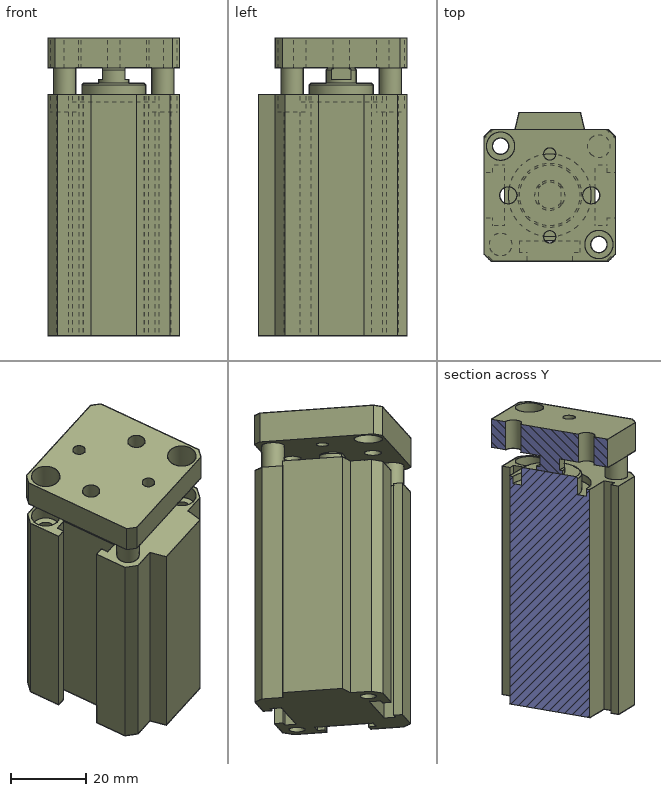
import cadquery as cq

total_height = 79.0
total_depth = 39.5
side = 35.0
half_side = side / 2

plate_thickness = 8.0
plate_chamfer = 2.0
plate_bottom = total_height - plate_thickness
mount_offset = 11.0
large_mount_dia = 4.5
small_mount_dia = 3.2

corner_offset = 13.0
post_dia = 6.0
screw_hole_dia = 4.3
screw_head_dia = 7.5
screw_head_depth = 4.6

housing_height = 64.0
housing_chamfer = 2.5

slot_width = 12.0
slot_inner_width = 15.95
slot_lip = 2.4
slot_depth = 5.45

rib_depth = total_depth - side
rib_base_width = 18.5
rib_top_width = 16.35

recess_dia = 22.0
recess_depth = 2.0
collar_dia = 17.0
collar_height = 3.0
collar_chamfer = 0.5

rod_dia = 8.0
rod_chamfer = 0.5
flat_width = 6.0
flat_length = 3.0

collar_top = housing_height + collar_height
post_points = [(-corner_offset, -corner_offset), (corner_offset, corner_offset)]
screw_points = [(-corner_offset, corner_offset), (corner_offset, -corner_offset)]


def chamfered_block(height, chamfer):
    """Square block standing on Z = 0, with its four upright edges chamfered."""
    block = cq.Workplane("XY").rect(side, side).extrude(height)
    return block.edges("|Z").chamfer(chamfer)


def cylinder(diameter, bottom, top, points):
    """Upright cylinders from one level to another at the given points."""
    base = cq.Workplane("XY").workplane(offset=bottom).pushPoints(points)
    return base.circle(diameter / 2).extrude(top - bottom)


def t_slot():
    """Cutter for the T-slot along the -Y side, over the whole housing height."""
    mouth = cq.Workplane("XY").rect(slot_width, 2 * slot_lip).extrude(housing_height)
    inner_depth = slot_depth - slot_lip
    inner = (
        cq.Workplane("XY")
        .center(0, slot_lip + inner_depth / 2)
        .rect(slot_inner_width, inner_depth)
        .extrude(housing_height)
    )
    return mouth.union(inner).translate((0, -half_side, 0))


def tapered_rib():
    """Rib with sloping flanks along the +Y side."""
    outline = [
        (-rib_base_width / 2, half_side),
        (rib_base_width / 2, half_side),
        (rib_top_width / 2, half_side + rib_depth),
        (-rib_top_width / 2, half_side + rib_depth),
    ]
    return cq.Workplane("XY").polyline(outline).close().extrude(housing_height)


def collar():
    """Collar rising from the recess floor, with a chamfered rim."""
    body = cylinder(collar_dia, housing_height - recess_depth, collar_top, [(0, 0)])
    return body.faces(">Z").edges().chamfer(collar_chamfer)


def make_housing():
    body = chamfered_block(housing_height, housing_chamfer).union(tapered_rib())
    for angle in (-90, 0, 90):
        body = body.cut(t_slot().rotate((0, 0, 0), (0, 0, 1), angle))
    body = body.cut(cylinder(screw_hole_dia, 0, housing_height, screw_points))
    head_floor = housing_height - screw_head_depth
    body = body.cut(cylinder(screw_head_dia, head_floor, housing_height, screw_points))
    body = body.cut(cylinder(recess_dia, housing_height - recess_depth, housing_height, [(0, 0)]))
    return body.union(collar())


def piston_rod():
    """Rod from the collar to the plate, with a chamfered end and two spanner flats."""
    rod = cylinder(rod_dia, collar_top, plate_bottom, [(0, 0)])
    rod = rod.faces(">Z").edges().chamfer(rod_chamfer)
    flat_zone = (
        cq.Workplane("XY")
        .workplane(offset=plate_bottom - flat_length)
        .rect(rod_dia, rod_dia)
        .rect(flat_width, rod_dia)
        .extrude(flat_length)
    )
    return rod.cut(flat_zone)


def make_slide():
    """Tool plate with its guide posts and piston rod."""
    plate = chamfered_block(plate_thickness, plate_chamfer).translate((0, 0, plate_bottom))
    hole_rows = [
        (large_mount_dia, [(-mount_offset, 0), (mount_offset, 0)]),
        (small_mount_dia, [(0, -mount_offset), (0, mount_offset)]),
        (screw_head_dia, screw_points),
    ]
    for diameter, points in hole_rows:
        plate = plate.cut(cylinder(diameter, plate_bottom, total_height, points))
    posts = cylinder(post_dia, housing_height, plate_bottom, post_points)
    return plate.union(posts).union(piston_rod())


housing = make_housing()
slide = make_slide()
result = cq.Compound.makeCompound([housing.val(), slide.val()])